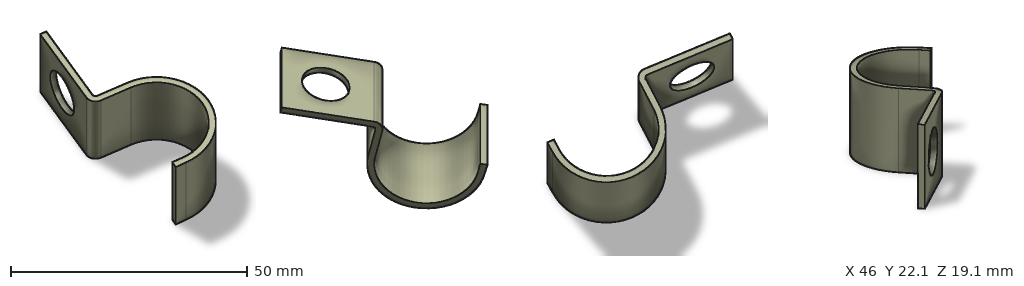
import cadquery as cq

total_length = 45.95
total_depth = 22.15
width = 19.05
thickness = 1.5
loop_radius = 12.6
tail_length = 2.45
tail_flare = 0.1
bend_radius = 2.3
hole_diameter = 10.3
hole_from_end = 9.5

loop_x = total_length - tail_flare - loop_radius
loop_y = total_depth - loop_radius
loop_inner_radius = loop_radius - thickness
leg_outside_x = loop_x - loop_radius
leg_inside_x = loop_x - loop_inner_radius
tail_outside_x = loop_x + loop_radius
tail_inside_x = loop_x + loop_inner_radius
tail_end_y = loop_y - tail_length


def strap_profile():
    """Closed outline of the bent strip, without the rounded bend."""
    return (
        cq.Workplane("XY")
        .moveTo(0, 0)
        .lineTo(leg_inside_x, 0)
        .lineTo(leg_inside_x, loop_y)
        .threePointArc((loop_x, loop_y + loop_inner_radius), (tail_inside_x, loop_y))
        .lineTo(tail_inside_x, tail_end_y)
        .lineTo(total_length, tail_end_y)
        .lineTo(tail_outside_x, loop_y)
        .threePointArc((loop_x, total_depth), (leg_outside_x, loop_y))
        .lineTo(leg_outside_x, thickness)
        .lineTo(0, thickness)
        .close()
    )


def round_bend(strap):
    """Round the bend with concentric outer and inner radii."""
    outer_corner = cq.selectors.NearestToPointSelector((leg_inside_x, 0, width / 2))
    inner_corner = cq.selectors.NearestToPointSelector((leg_outside_x, thickness, width / 2))
    strap = strap.edges(outer_corner).fillet(bend_radius)
    return strap.edges(inner_corner).fillet(bend_radius - thickness)


def screw_hole():
    """Cylinder that passes through the tab, centred across its width."""
    return (
        cq.Workplane("XZ", origin=(hole_from_end, thickness, width / 2))
        .circle(hole_diameter / 2)
        .extrude(thickness)
    )


result = round_bend(strap_profile().extrude(width)).cut(screw_hole())